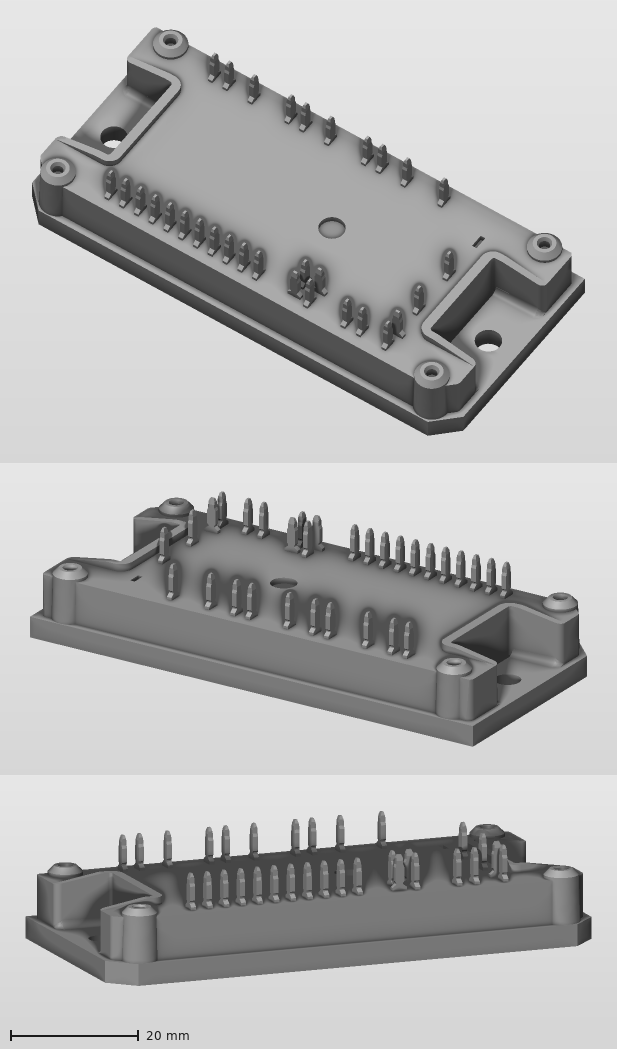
import cadquery as cq
import math

PLATE_LENGTH = 82.0
PLATE_WIDTH = 37.4
PLATE_THICKNESS = 3.5
PLATE_CORNER_CUT = 4.0
MOUNTING_HOLE_DIAMETER = 4.3
MOUNTING_HOLE_X = 35.6

HOUSING_LENGTH = 79.7
HOUSING_WIDTH_BOTTOM = 35.0
HOUSING_WIDTH_TOP = 34.5
HOUSING_TOP = 10.5
HOUSING_CORNER_RADIUS = 1.1
CORNER_CUT_INSET = 1.15

NOTCH_WALL_X = 30.45
NOTCH_HALF_WIDTH_INNER = 8.75
NOTCH_HALF_WIDTH_MOUTH = 8.95
NOTCH_CORNER_RADIUS = 0.5
MOUTH_RADIUS = 1.1
NOTCH_FLOOR_HALF_WIDTH = 7.7
FILLET_END_RADIUS = 0.17
FILLET_END_ANGLE = 81.0
RIM_TOP = 11.75
RIM_INNER_X = 28.85
RIM_CORNER_RADIUS = 2.1
RIM_BLEND_RADIUS = 4.0
RIM_SLOPE_START_X = 32.1
PLATE_SLOT_WIDTH = 0.5

BOSS_X = 35.55
BOSS_Y = 15.5
BOSS_RADIUS_BOTTOM = 3.0
BOSS_RADIUS_SHOULDER = 2.77
BOSS_RADIUS_TOP = 1.85
BOSS_SHOULDER = 11.0
BOSS_TOP = 11.95
BOSS_HOLE_DIAMETER = 2.4
BOSS_HOLE_DIAMETER_BOTTOM = 1.75
BOSS_HOLE_TAPER_DEPTH = 0.6
BOSS_HOLE_DEPTH = 2.0

CENTER_RECESS_DIAMETER = 4.3
CENTER_RECESS_X = 5.85
RECESS_DEPTH = 1.0

PIN_TOP = 16.23
PIN_THICKNESS = 0.85
PIN_FOOT_WIDTH = 2.4
PIN_FOOT_TOP = 11.0
PIN_NECK_WIDTH = 1.1
PIN_NECK_BOTTOM = 11.5
PIN_NECK_TOP = 11.7
PIN_BODY_WIDTH = 1.5
PIN_BODY_BOTTOM = 11.95
PIN_BODY_TOP = 14.2
PIN_HEAD_BOTTOM = 14.7
PIN_SHOULDER = 15.25
PIN_TIP_SHOULDER = 15.7
PIN_TIP_WIDTH = 0.65
PIN_TIP_THICKNESS = 0.4
PIN_ROOT_DEPTH = 0.5

PIN_ROW_START_X = -26.37
PIN_PITCH = 2.81
BACK_ROW_Y = 14.25
BACK_PIN_COUNT = 10
BACK_GROUP_PITCH = 14.55
BACK_GROUP_OFFSETS = (0.0, PIN_PITCH, 7.55)
FRONT_ROW_Y = -14.2
FRONT_ROW_COUNT = 11
SECOND_ROW_Y = -11.5
RIGHT_COLUMN_X = 26.3
SLOT_Y = 10.75

back_pins = []
for i in range(BACK_PIN_COUNT):
    group, place = divmod(i, len(BACK_GROUP_OFFSETS))
    back_pin_x = PIN_ROW_START_X + group * BACK_GROUP_PITCH + BACK_GROUP_OFFSETS[place]
    back_pins.append((back_pin_x, BACK_ROW_Y))

front_pins = [(PIN_ROW_START_X + i * PIN_PITCH, FRONT_ROW_Y) for i in range(FRONT_ROW_COUNT)]

lone_pins = [
    (8.7, SECOND_ROW_Y),
    (11.45, FRONT_ROW_Y),
    (18.55, FRONT_ROW_Y),
    (21.45, FRONT_ROW_Y),
    (RIGHT_COLUMN_X, FRONT_ROW_Y),
    (RIGHT_COLUMN_X, -5.65),
    (RIGHT_COLUMN_X, 2.65),
]
crosswise_pins = [(8.7, FRONT_ROW_Y), (11.5, SECOND_ROW_Y), (RIGHT_COLUMN_X, SECOND_ROW_Y)]


def at_both_ends(shape):
    """The shape together with its mirror image at the other end of the part."""
    return shape.union(shape.mirror("YZ"))


def outline_with_cut_corners(half_length, half_width, corner_sum):
    """Rectangle whose two -Y corners are cut along the lines |x| - y = corner_sum."""
    cut_x = corner_sum - half_width
    cut_y = half_length - corner_sum
    return cq.Workplane("XY").polyline([
        (-half_length, half_width),
        (half_length, half_width),
        (half_length, cut_y),
        (cut_x, -half_width),
        (-cut_x, -half_width),
        (-half_length, cut_y),
    ]).close()


def plate_corner_sum():
    return (PLATE_LENGTH + PLATE_WIDTH) / 2 - PLATE_CORNER_CUT


def base_plate():
    outline = outline_with_cut_corners(PLATE_LENGTH / 2, PLATE_WIDTH / 2, plate_corner_sum())
    plate = outline.extrude(PLATE_THICKNESS)
    hole = (
        cq.Workplane("XY")
        .center(MOUNTING_HOLE_X, 0)
        .circle(MOUNTING_HOLE_DIAMETER / 2)
        .extrude(PLATE_THICKNESS)
    )
    slot = cq.Workplane("XY").box(
        PLATE_SLOT_WIDTH, 2 * NOTCH_HALF_WIDTH_INNER, PLATE_THICKNESS, centered=(False, True, False)
    ).translate((NOTCH_WALL_X, 0, 0))
    return plate.cut(at_both_ends(hole.union(slot)))


def housing_block():
    """Long block with slightly leaning sides, rounded back corners and cut front corners."""
    block = (
        cq.Workplane("YZ")
        .polyline([
            (-HOUSING_WIDTH_BOTTOM / 2, PLATE_THICKNESS),
            (HOUSING_WIDTH_BOTTOM / 2, PLATE_THICKNESS),
            (HOUSING_WIDTH_TOP / 2, HOUSING_TOP),
            (-HOUSING_WIDTH_TOP / 2, HOUSING_TOP),
        ])
        .close()
        .extrude(HOUSING_LENGTH / 2, both=True)
    )
    corner_sum = plate_corner_sum() - CORNER_CUT_INSET * math.sqrt(2)
    envelope = outline_with_cut_corners(
        HOUSING_LENGTH / 2, HOUSING_WIDTH_BOTTOM / 2, corner_sum
    ).extrude(HOUSING_TOP)
    envelope = envelope.edges("|Z").edges("<X or >X").fillet(HOUSING_CORNER_RADIUS)
    return block.intersect(envelope)


def notch_rim():
    """Raised rim around the +X notch, before the notch is cut; it slopes down to the mouth."""
    mouth_x = HOUSING_LENGTH / 2
    half_width = NOTCH_HALF_WIDTH_MOUTH + MOUTH_RADIUS
    side_profile = (
        cq.Workplane("XZ")
        .polyline([
            (RIM_INNER_X, PLATE_THICKNESS),
            (mouth_x, PLATE_THICKNESS),
            (mouth_x, HOUSING_TOP),
            (RIM_SLOPE_START_X, RIM_TOP),
            (RIM_INNER_X, RIM_TOP),
        ])
        .close()
        .extrude(half_width, both=True)
    )
    slope_start = cq.selectors.NearestToPointSelector((RIM_SLOPE_START_X, 0, RIM_TOP))
    blended = side_profile.edges("|Y").edges(slope_start).fillet(RIM_BLEND_RADIUS)
    return blended.edges("|Z and <X").fillet(RIM_CORNER_RADIUS)


def notch_opening():
    """Space cut from the +X end: widens towards the mouth, whose edges are rounded."""
    mouth_x = HOUSING_LENGTH / 2
    arc_start_x = mouth_x - MOUTH_RADIUS
    arc_center_y = NOTCH_HALF_WIDTH_MOUTH + MOUTH_RADIUS
    arc_mid_x = arc_start_x + MOUTH_RADIUS * math.sin(math.pi / 4)
    arc_mid_y = arc_center_y - MOUTH_RADIUS * math.cos(math.pi / 4)
    opening = (
        cq.Workplane("XY")
        .workplane(offset=PLATE_THICKNESS)
        .moveTo(NOTCH_WALL_X, -NOTCH_HALF_WIDTH_INNER)
        .lineTo(arc_start_x, -NOTCH_HALF_WIDTH_MOUTH)
        .threePointArc((arc_mid_x, -arc_mid_y), (mouth_x, -arc_center_y))
        .lineTo(mouth_x, arc_center_y)
        .threePointArc((arc_mid_x, arc_mid_y), (arc_start_x, NOTCH_HALF_WIDTH_MOUTH))
        .lineTo(NOTCH_WALL_X, NOTCH_HALF_WIDTH_INNER)
        .close()
        .extrude(RIM_TOP - PLATE_THICKNESS)
    )
    return opening.edges("|Z and <X").fillet(NOTCH_CORNER_RADIUS)


def fillet_section(origin, outward, radius):
    """Concave corner profile standing on the plate, facing along `outward`."""
    plane = cq.Plane(
        origin=(*origin, PLATE_THICKNESS),
        xDir=(*outward, 0),
        normal=(outward[1], -outward[0], 0),
    )
    embedded = radius / 2
    middle = radius * (1 - math.sin(math.pi / 4))
    return (
        cq.Workplane(plane)
        .moveTo(-embedded, 0)
        .lineTo(radius, 0)
        .threePointArc((middle, middle), (0, radius))
        .lineTo(-embedded, radius)
        .close()
        .wires()
        .val()
    )


def notch_floor_fillet():
    """Fillet between the +Y wall of the +X notch and the plate, fading out around the mouth."""
    arc_center_x = HOUSING_LENGTH / 2 - MOUTH_RADIUS
    arc_center_y = NOTCH_HALF_WIDTH_MOUTH + MOUTH_RADIUS
    inner_radius = NOTCH_HALF_WIDTH_INNER - NOTCH_FLOOR_HALF_WIDTH
    mouth_radius = NOTCH_HALF_WIDTH_MOUTH - NOTCH_FLOOR_HALF_WIDTH
    inner_end = (NOTCH_WALL_X + PLATE_SLOT_WIDTH, NOTCH_HALF_WIDTH_INNER)
    mouth_end = (arc_center_x, NOTCH_HALF_WIDTH_MOUTH)
    straight = cq.Solid.makeLoft([
        fillet_section(inner_end, (0, -1), inner_radius),
        fillet_section(mouth_end, (0, -1), mouth_radius),
    ], True)
    fading_sections = []
    for fraction in (0.0, 0.5, 1.0):
        angle = math.radians(fraction * FILLET_END_ANGLE)
        outward = (math.sin(angle), -math.cos(angle))
        origin = (
            arc_center_x + MOUTH_RADIUS * outward[0],
            arc_center_y + MOUTH_RADIUS * outward[1],
        )
        radius = mouth_radius + fraction * (FILLET_END_RADIUS - mouth_radius)
        fading_sections.append(fillet_section(origin, outward, radius))
    fading = cq.Solid.makeLoft(fading_sections)
    beyond_mouth = cq.Workplane("XY").box(
        MOUTH_RADIUS, 2 * BOSS_Y, RIM_TOP, centered=(False, True, False)
    ).translate((HOUSING_LENGTH / 2, 0, 0))
    return cq.Workplane(straight).union(cq.Workplane(fading).cut(beyond_mouth))


def corner_boss():
    """Tapered round post with a conical top."""
    return (
        cq.Workplane("XZ")
        .polyline([
            (0, PLATE_THICKNESS),
            (BOSS_RADIUS_BOTTOM, PLATE_THICKNESS),
            (BOSS_RADIUS_SHOULDER, BOSS_SHOULDER),
            (BOSS_RADIUS_TOP, BOSS_TOP),
            (0, BOSS_TOP),
        ])
        .close()
        .revolve(360, (0, 0, 0), (0, 1, 0))
    )


def boss_hole():
    """Blind hole that narrows from the mouth and then runs straight to its floor."""
    return (
        cq.Workplane("XZ")
        .polyline([
            (0, BOSS_TOP - BOSS_HOLE_DEPTH),
            (BOSS_HOLE_DIAMETER_BOTTOM / 2, BOSS_TOP - BOSS_HOLE_DEPTH),
            (BOSS_HOLE_DIAMETER_BOTTOM / 2, BOSS_TOP - BOSS_HOLE_TAPER_DEPTH),
            (BOSS_HOLE_DIAMETER / 2, BOSS_TOP),
            (0, BOSS_TOP),
        ])
        .close()
        .revolve(360, (0, 0, 0), (0, 1, 0))
    )


def top_recesses():
    """Round recess near the middle and the empty pin slot in the right-hand column."""
    top = cq.Workplane("XY").workplane(offset=HOUSING_TOP)
    round_recess = top.center(CENTER_RECESS_X, 0).circle(CENTER_RECESS_DIAMETER / 2).extrude(-RECESS_DEPTH)
    slot = top.center(RIGHT_COLUMN_X, SLOT_Y).rect(PIN_THICKNESS, PIN_FOOT_WIDTH).extrude(-RECESS_DEPTH)
    return round_recess.union(slot)


def symmetric_profile(plane, levels):
    """Closed outline, mirrored about the vertical axis, from (full width, height) pairs."""
    right = [(width / 2, height) for width, height in levels]
    left = [(-x, z) for x, z in reversed(right)]
    return cq.Workplane(plane).polyline(right + left).close()


def contact_pin():
    """Flat pin on the Z axis, broad along Y, tapered to its tip both ways."""
    root = HOUSING_TOP - PIN_ROOT_DEPTH
    broad = symmetric_profile("YZ", [
        (PIN_FOOT_WIDTH, root),
        (PIN_FOOT_WIDTH, PIN_FOOT_TOP),
        (PIN_NECK_WIDTH, PIN_NECK_BOTTOM),
        (PIN_NECK_WIDTH, PIN_NECK_TOP),
        (PIN_BODY_WIDTH, PIN_BODY_BOTTOM),
        (PIN_BODY_WIDTH, PIN_BODY_TOP),
        (PIN_NECK_WIDTH, PIN_HEAD_BOTTOM),
        (PIN_NECK_WIDTH, PIN_TIP_SHOULDER),
        (PIN_TIP_WIDTH, PIN_TOP),
    ]).extrude(PIN_THICKNESS / 2, both=True)
    narrow = symmetric_profile("XZ", [
        (PIN_THICKNESS, root),
        (PIN_THICKNESS, PIN_SHOULDER),
        (PIN_TIP_THICKNESS, PIN_TOP),
    ]).extrude(PIN_FOOT_WIDTH / 2, both=True)
    return broad.intersect(narrow)


def build():
    block = housing_block().union(at_both_ends(notch_rim())).cut(at_both_ends(notch_opening()))
    part = base_plate().union(block)

    fillet = notch_floor_fillet()
    part = part.union(at_both_ends(fillet.union(fillet.mirror("XZ"))))

    boss_centers = [(x, y, 0) for x in (-BOSS_X, BOSS_X) for y in (-BOSS_Y, BOSS_Y)]
    for center in boss_centers:
        part = part.union(corner_boss().translate(center))
        part = part.cut(boss_hole().translate(center))

    part = part.cut(top_recesses())

    pin = contact_pin()
    turned_pin = pin.rotate((0, 0, 0), (0, 0, 1), 90)
    pins = [pin.translate((x, y, 0)).val() for x, y in back_pins + front_pins + lone_pins]
    pins += [turned_pin.translate((x, y, 0)).val() for x, y in crosswise_pins]
    return cq.Workplane(part.val().fuse(*pins))


result = build()